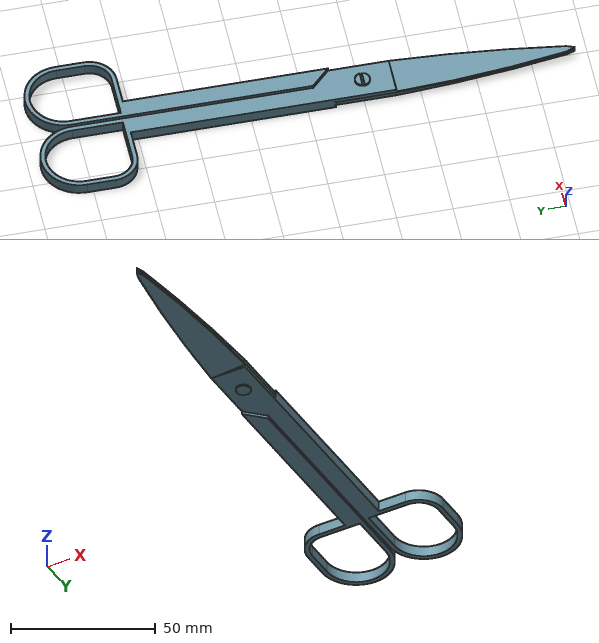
import cadquery as cq


LENGTH = 191.3
TIP_Y = -75.0
LOOP_TOP_Y = TIP_Y + LENGTH
LOOP_BOTTOM_Y = 83.2
SHANK_END_Y = 10.7
BLADE_START_Y = -SHANK_END_Y

LOOP_WIDTH = 26.8
LOOP_WALL = 1.7
LOOP_CORNER_RADIUS = 9.5
HALF_WIDTH = 6.7
HANDLE_THICKNESS = 4.2
PLATE_THICKNESS = 1.5
HANDLE_BOTTOM_Z = PLATE_THICKNESS - HANDLE_THICKNESS

EDGE_THICKNESS = 0.5
BLADE_MID_Y = -42.0
EDGE_MID_HALF_WIDTH = 5.0
SPINE_INSET = 0.4
TIP_ROUND_Y = TIP_Y + 2.9
TIP_HALF_WIDTH = 1.3

SCREW_RADIUS = 2.7
SCREW_HEAD_HEIGHT = 0.5
SLOT_WIDTH = 0.8


def loop_profile(inset):
    """Left finger-loop outline: round top, straight sides, one rounded outer corner."""
    outer_x = -LOOP_WIDTH + inset
    inner_x = -inset
    bottom_y = LOOP_BOTTOM_Y + inset
    top_y = LOOP_TOP_Y - inset
    spring_y = LOOP_TOP_Y - LOOP_WIDTH / 2
    corner = LOOP_CORNER_RADIUS - inset
    return (
        cq.Workplane("XY", origin=(0, 0, HANDLE_BOTTOM_Z))
        .moveTo(inner_x, bottom_y)
        .lineTo(inner_x, spring_y)
        .threePointArc((-LOOP_WIDTH / 2, top_y), (outer_x, spring_y))
        .lineTo(outer_x, bottom_y + corner)
        .radiusArc((outer_x + corner, bottom_y), -corner)
        .close()
    )


def make_loop():
    outer = loop_profile(0).extrude(HANDLE_THICKNESS)
    opening = loop_profile(LOOP_WALL).extrude(HANDLE_THICKNESS)
    return outer.cut(opening)


def make_shank():
    """Thick left shank with a 45 degree lower end."""
    return (
        cq.Workplane("XY", origin=(0, 0, HANDLE_BOTTOM_Z))
        .polyline([
            (0, LOOP_BOTTOM_Y + LOOP_WALL),
            (0, SHANK_END_Y + HALF_WIDTH),
            (-HALF_WIDTH, SHANK_END_Y),
            (-HALF_WIDTH, LOOP_BOTTOM_Y),
            (0, LOOP_BOTTOM_Y),
        ])
        .close()
        .extrude(HANDLE_THICKNESS)
    )


def make_joint_plate():
    """Thin plate crossing over the other half, butting against its slanted shank end."""
    return (
        cq.Workplane("XY")
        .polyline([
            (-HALF_WIDTH, BLADE_START_Y),
            (HALF_WIDTH, BLADE_START_Y),
            (HALF_WIDTH, SHANK_END_Y),
            (0, SHANK_END_Y + HALF_WIDTH),
            (-HALF_WIDTH, SHANK_END_Y + HALF_WIDTH),
        ])
        .close()
        .extrude(PLATE_THICKNESS)
    )


def make_blade():
    """Pointed blade: its top face slopes from the spine (+X) down to the cutting edge (-X)."""
    outline = (
        cq.Workplane("XY")
        .moveTo(-HALF_WIDTH, BLADE_START_Y)
        .threePointArc((-EDGE_MID_HALF_WIDTH, BLADE_MID_Y), (-TIP_HALF_WIDTH, TIP_ROUND_Y))
        .lineTo(0, TIP_Y)
        .lineTo(TIP_HALF_WIDTH - SPINE_INSET, TIP_ROUND_Y)
        .threePointArc((EDGE_MID_HALF_WIDTH - SPINE_INSET, BLADE_MID_Y), (HALF_WIDTH, BLADE_START_Y))
        .close()
        .extrude(PLATE_THICKNESS)
    )
    bevel = (
        cq.Workplane("XZ", origin=(0, BLADE_START_Y, 0))
        .polyline([
            (-HALF_WIDTH, 0),
            (HALF_WIDTH, 0),
            (HALF_WIDTH, PLATE_THICKNESS),
            (-HALF_WIDTH, EDGE_THICKNESS),
        ])
        .close()
        .extrude(BLADE_START_Y - TIP_Y)
    )
    return outline.intersect(bevel)


def make_half():
    """Half with the left-hand loop and the upper blade, bored for the screw."""
    half = make_shank().union(make_loop()).union(make_joint_plate()).union(make_blade())
    bore = cq.Workplane("XY").circle(SCREW_RADIUS).extrude(PLATE_THICKNESS)
    return half.cut(bore)


def make_screw():
    """Plain round screw standing proud of both plates, slotted along X on top."""
    screw_half_height = PLATE_THICKNESS + SCREW_HEAD_HEIGHT
    body = cq.Workplane("XY").circle(SCREW_RADIUS).extrude(screw_half_height, both=True)
    slot = (
        cq.Workplane("XY", origin=(0, 0, PLATE_THICKNESS))
        .rect(2 * SCREW_RADIUS, SLOT_WIDTH)
        .extrude(SCREW_HEAD_HEIGHT)
    )
    return body.cut(slot)


HALF_TURNS = (0, 180)
scissor_halves = [make_half().rotate((0, 0, 0), (0, 1, 0), turn) for turn in HALF_TURNS]
pivot_screw = make_screw()

result = cq.Compound.makeCompound([*[half.val() for half in scissor_halves], pivot_screw.val()])